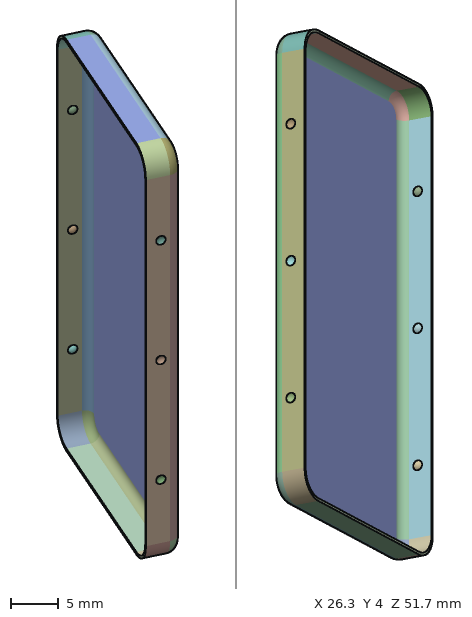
import cadquery as cq

width = 26.3
depth = 4.0
height = 51.7
wall = 0.3

corner_radius = 2.85
back_edge_radius = 1.3

bump_radius = 0.6
bump_pitch = 15.05
bump_from_back = 2.35
bumps_per_side = 3

back_y = depth / 2
front_y = -depth / 2


def rounded_block(inset):
    """Block inset from the outer sides and back, with rounded corners and back edge."""
    return (
        cq.Workplane("XZ", origin=(0, front_y, 0))
        .rect(width - 2 * inset, height - 2 * inset)
        .extrude(-(depth - inset))
        .edges("|Y")
        .fillet(corner_radius - inset)
        .faces(">Y")
        .edges()
        .fillet(back_edge_radius - inset)
    )


def ball(x, z):
    """Sphere with poles along X, at the bump depth, centred on the given x and z."""
    center = (x, back_y - bump_from_back, z)
    return cq.Workplane("YZ", origin=center).sphere(bump_radius)


outer = rounded_block(0)
result = outer.cut(rounded_block(wall))

bump_center_x = width / 2
dimple_center_x = bump_center_x + wall
for side in (-1, 1):
    for index in range(bumps_per_side):
        z = (index - (bumps_per_side - 1) / 2) * bump_pitch
        bump = ball(side * bump_center_x, z).intersect(outer)
        dimple = ball(side * dimple_center_x, z)
        result = result.union(bump).cut(dimple)